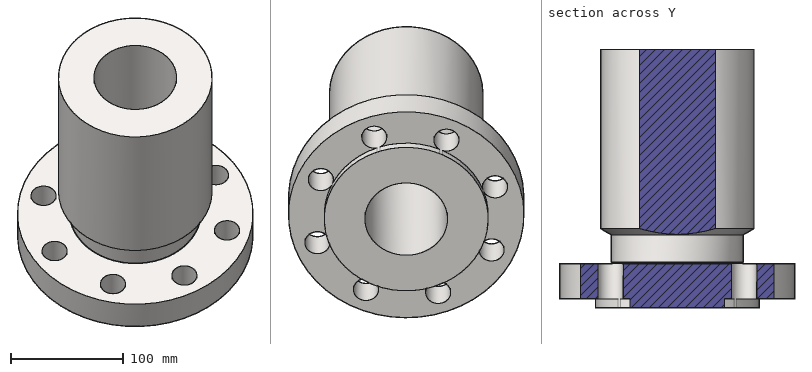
import cadquery as cq

total_height = 230.2

flange_diameter = 210.0
flange_thickness = 31.5
face_diameter = 146.2
face_height = 7.8

neck_diameter = 117.9
neck_height = 25.5
neck_chamfer_height = 0.7
neck_chamfer_width = 0.7
neck_foot_height = 0.7

barrel_diameter = 137.0
cone_height = 5.5
bore_diameter = 73.7

bolt_count = 8
bolt_circle_diameter = 168.3
bolt_hole_diameter = 22.3

flange_bottom = face_height
flange_top = flange_bottom + flange_thickness
foot_top = flange_top + neck_foot_height
neck_top = flange_top + neck_height
barrel_bottom = neck_top + cone_height


def turned_body():
    """Revolve the stepped half section, bore included, around Z."""
    bore_radius = bore_diameter / 2
    face_radius = face_diameter / 2
    flange_radius = flange_diameter / 2
    neck_radius = neck_diameter / 2
    foot_radius = neck_radius - neck_chamfer_width
    barrel_radius = barrel_diameter / 2
    half_section = [
        (bore_radius, 0),
        (face_radius, 0),
        (face_radius, flange_bottom),
        (flange_radius, flange_bottom),
        (flange_radius, flange_top),
        (foot_radius, flange_top),
        (foot_radius, foot_top),
        (neck_radius, foot_top + neck_chamfer_height),
        (neck_radius, neck_top),
        (barrel_radius, barrel_bottom),
        (barrel_radius, total_height),
        (bore_radius, total_height),
    ]
    return cq.Workplane("XZ").polyline(half_section).close().revolve(360, (0, 0), (0, 1))


def bolt_holes():
    """Cylinders through the flange; they slightly nick the rim of the sealing face."""
    return (
        cq.Workplane("XY")
        .polarArray(bolt_circle_diameter / 2, 0, 360, bolt_count)
        .circle(bolt_hole_diameter / 2)
        .extrude(flange_top)
    )


result = turned_body().cut(bolt_holes())